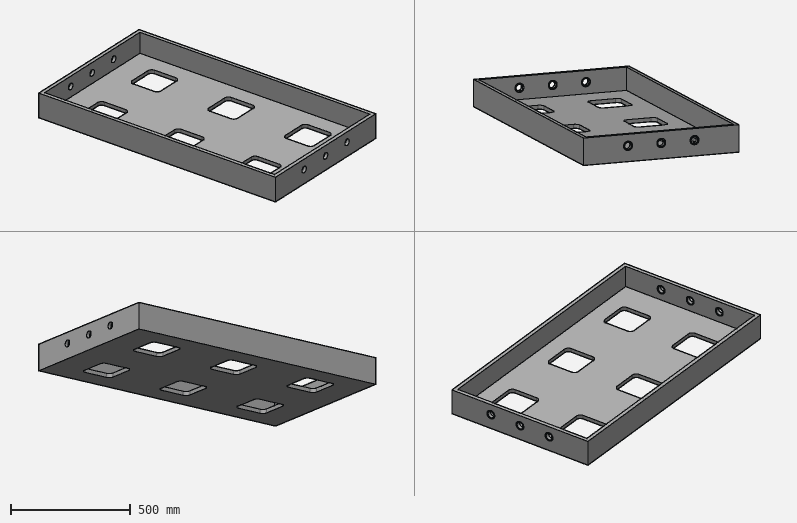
import cadquery as cq

LENGTH = 1236.0
WIDTH = 700.0
HEIGHT = 117.0
CAVITY_LENGTH = 1200.0
WALL = (LENGTH - CAVITY_LENGTH) / 2
FLOOR = WALL

OPENING_SIDE = 150.0
OPENING_RADIUS = 20.0
OPENING_COLUMNS = 3
OPENING_ROWS = 2
OPENING_PITCH_X = 400.0
OPENING_PITCH_Y = 350.0
OPENING_SHIFT_X = -6.0

HOLE_COUNT = 3
HOLE_DIAMETER = 30.0
HOLE_PITCH = 150.0
HOLE_DROP = 50.0
RECESS_DIAMETER = 40.0
RECESS_DEPTH = 1.0


def make_tray():
    """Open-topped box, centred in X and Y with its underside at Z = 0."""
    outer = cq.Workplane("XY").box(LENGTH, WIDTH, HEIGHT, centered=(True, True, False))
    cavity = (
        cq.Workplane("XY")
        .workplane(offset=FLOOR)
        .rect(CAVITY_LENGTH, WIDTH - 2 * WALL)
        .extrude(HEIGHT - FLOOR)
    )
    return outer.cut(cavity)


def make_floor_openings():
    """Grid of rounded square cutters through the floor."""
    return (
        cq.Workplane("XY")
        .center(OPENING_SHIFT_X, 0)
        .rarray(OPENING_PITCH_X, OPENING_PITCH_Y, OPENING_COLUMNS, OPENING_ROWS)
        .rect(OPENING_SIDE, OPENING_SIDE)
        .extrude(FLOOR)
        .edges("|Z")
        .fillet(OPENING_RADIUS)
    )


def make_cylinder_row(face_x, diameter, depth):
    """Row of cylinders along Y that start at face_x and run toward +X."""
    hole_ys = [(index - (HOLE_COUNT - 1) / 2) * HOLE_PITCH for index in range(HOLE_COUNT)]
    return (
        cq.Workplane("YZ", origin=(face_x, 0, HEIGHT - HOLE_DROP))
        .pushPoints([(hole_y, 0) for hole_y in hole_ys])
        .circle(diameter / 2)
        .extrude(depth)
    )


result = make_tray().cut(make_floor_openings())

for wall_face_x in (-LENGTH / 2, CAVITY_LENGTH / 2):
    result = result.cut(make_cylinder_row(wall_face_x, HOLE_DIAMETER, WALL))
    result = result.cut(make_cylinder_row(wall_face_x, RECESS_DIAMETER, RECESS_DEPTH))